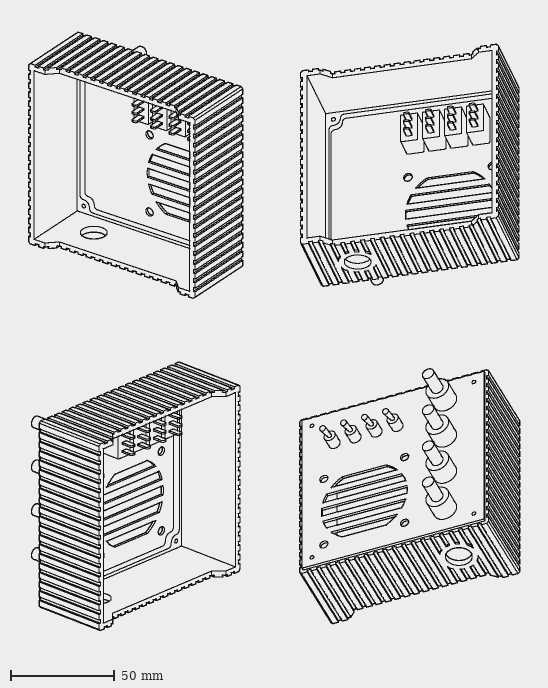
import cadquery as cq
import math

SIDE = 99.0
HOUSING_DEPTH = 40.0
WALL = 3.3
CORNER_CHAMFER = 1.0
GROOVE_PITCH = 4.95
GROOVE_WIDTH = 2.0
GROOVE_DEPTH = 1.0
RELIEF_DEPTH = 4.95
RELIEF_START = 9.8

CABLE_HOLE_DIAMETER = 13.0
CABLE_PAD_DIAMETER = 18.8
CABLE_HOLE_X = 22.8
CABLE_HOLE_Y = 22.5

PANEL_SIDE = 95.2
PANEL_BACK = 41.5
PLUG_DEPTH = 4.0
POCKET_MARGIN = 4.95
SCREW_INSET = 7.1
SCREW_HOLE_DIAMETER = 2.0
BOSS_RADIUS = 3.5
POCKET_FILLET = 2.0

FAN_X = 64.5
FAN_Z = 34.5
FAN_DIAMETER = 44.9
FAN_SCREW_SPACING = 42.3
FAN_SCREW_DIAMETER = 4.3
SLOT_COUNT = 5
SLOT_HEIGHT = 4.95
SLOT_PITCH = 8.4

KNOB_COUNT = 4
KNOB_X = 22.1
KNOB_PITCH = 23.3
KNOB_DIAMETER = 12.0
KNOB_LENGTH = 10.2
SHAFT_DIAMETER = 6.0
OVERALL_DEPTH = 63.5

SWITCH_COUNT = 4
SWITCH_CENTRE_X = 63.6
SWITCH_PITCH = 11.0
SWITCH_Z = 76.3
SWITCH_WIDTH = 8.6
SWITCH_HEIGHT = 15.1
SWITCH_DEPTH = 11.9
SWITCH_EDGE_RADIUS = 0.5
BUSHING_DIAMETER = 5.8
BUSHING_LENGTH = 6.3
TERMINAL_COUNT = 3
TERMINAL_PITCH = 4.4
TERMINAL_WIDTH = 2.9
TERMINAL_THICKNESS = 0.9
TERMINAL_LENGTH = 6.3
TERMINAL_CORNER_RADIUS = 0.9
LEVER_TILT = 16.0
LEVER_LENGTH = 9.4
LEVER_ROOT_DEPTH = 1.0
LEVER_ROOT_DIAMETER = 2.0
LEVER_TIP_DIAMETER = 3.0
LEVER_DOME = 0.9

CENTRE = SIDE / 2
BORE_SIDE = SIDE - 2 * WALL
PLUG_FRONT = HOUSING_DEPTH - PLUG_DEPTH


def centred_positions(count, pitch, centre):
    """Evenly spaced positions, symmetric about a centre."""
    return [centre + (i - (count - 1) / 2) * pitch for i in range(count)]


SWITCH_POSITIONS = centred_positions(SWITCH_COUNT, SWITCH_PITCH, SWITCH_CENTRE_X)
KNOB_POSITIONS = centred_positions(KNOB_COUNT, KNOB_PITCH, CENTRE)


def block(x, y, z):
    """Box given by its (low, high) limits along each axis."""
    size = (x[1] - x[0], y[1] - y[0], z[1] - z[0])
    return cq.Workplane("XY").box(*size, centered=False).translate((x[0], y[0], z[0]))


def square_block(side, y_start, y_end):
    """Square plate centred on the sleeve axis."""
    low = CENTRE - side / 2
    high = CENTRE + side / 2
    return block((low, high), (y_start, y_end), (low, high))


def rod(x, z, diameter, y_start, y_end):
    """Cylinder along Y."""
    start = cq.Vector(x, y_start, z)
    return cq.Workplane(
        cq.Solid.makeCylinder(diameter / 2, y_end - y_start, start, cq.Vector(0, 1, 0))
    )


def make_grooves():
    """Grooves along Y on all four outer sides."""
    count = round(SIDE / GROOVE_PITCH) - 1
    along = (0, HOUSING_DEPTH)
    grooves = []
    for position in centred_positions(count, GROOVE_PITCH, CENTRE):
        across = (position - GROOVE_WIDTH / 2, position + GROOVE_WIDTH / 2)
        for depth in ((0, GROOVE_DEPTH), (SIDE - GROOVE_DEPTH, SIDE)):
            grooves.append(block(across, along, depth).val())
            grooves.append(block(depth, along, across).val())
    return cq.Compound.makeCompound(grooves)


def make_relief():
    """Trapezoid cut from the front edges of the bottom and top walls."""
    return (
        cq.Workplane("XY")
        .polyline([
            (RELIEF_START, 0),
            (RELIEF_START + RELIEF_DEPTH, RELIEF_DEPTH),
            (SIDE - RELIEF_START - RELIEF_DEPTH, RELIEF_DEPTH),
            (SIDE - RELIEF_START, 0),
        ])
        .close()
        .extrude(SIDE)
    )


def make_housing():
    """Grooved sleeve with a padded cable hole and relieved front edges."""
    sleeve = square_block(SIDE, 0, HOUSING_DEPTH).edges("|Y").chamfer(CORNER_CHAMFER)
    sleeve = sleeve.cut(make_grooves())
    cable_axis = cq.Workplane("XY").center(CABLE_HOLE_X, CABLE_HOLE_Y)
    pad = cable_axis.circle(CABLE_PAD_DIAMETER / 2).extrude(WALL)
    hole = cable_axis.circle(CABLE_HOLE_DIAMETER / 2).extrude(WALL)
    sleeve = sleeve.union(pad).cut(hole)
    bore = square_block(BORE_SIDE, 0, HOUSING_DEPTH)
    return sleeve.cut(bore).cut(make_relief())


def make_screw_posts():
    """Rounded posts that fill the pocket corners and blend into the pocket walls."""
    near = POCKET_MARGIN
    blend = near + POCKET_FILLET
    far = SCREW_INSET + BOSS_RADIUS
    blend_end = far + POCKET_FILLET
    boss_middle = SCREW_INSET + BOSS_RADIUS * math.cos(math.pi / 4)
    fillet_middle = POCKET_FILLET * (1 - math.cos(math.pi / 4))
    post = (
        cq.Workplane("XZ", origin=(0, HOUSING_DEPTH, 0))
        .moveTo(near, near)
        .lineTo(blend_end, near)
        .threePointArc((far + fillet_middle, near + fillet_middle), (far, blend))
        .lineTo(far, SCREW_INSET)
        .threePointArc((boss_middle, boss_middle), (SCREW_INSET, far))
        .lineTo(blend, far)
        .threePointArc((near + fillet_middle, far + fillet_middle), (near, blend_end))
        .close()
        .extrude(PLUG_DEPTH)
    )
    bottom_posts = post.union(post.mirror("YZ", (CENTRE, 0, 0)))
    return bottom_posts.union(bottom_posts.mirror("XY", (0, 0, CENTRE)))


def make_panel_pocket():
    """Square pocket in the plug, open to the front, less its corner posts."""
    pocket = square_block(SIDE - 2 * POCKET_MARGIN, PLUG_FRONT, HOUSING_DEPTH)
    return pocket.cut(make_screw_posts())


def make_fan_grille():
    """Horizontal slots clipped to the fan circle, with four screw holes around it."""
    depth = (HOUSING_DEPTH, PANEL_BACK)
    opening = rod(FAN_X, FAN_Z, FAN_DIAMETER, *depth)
    across = (FAN_X - FAN_DIAMETER / 2, FAN_X + FAN_DIAMETER / 2)
    cuts = []
    for z in centred_positions(SLOT_COUNT, SLOT_PITCH, FAN_Z):
        bar = block(across, depth, (z - SLOT_HEIGHT / 2, z + SLOT_HEIGHT / 2))
        cuts.append(opening.intersect(bar).val())
    for x in centred_positions(2, FAN_SCREW_SPACING, FAN_X):
        for z in centred_positions(2, FAN_SCREW_SPACING, FAN_Z):
            cuts.append(rod(x, z, FAN_SCREW_DIAMETER, *depth).val())
    return cq.Compound.makeCompound(cuts)


def make_panel():
    """Back plate and hollow plug with fan grille, screw holes and switch holes."""
    plate = square_block(PANEL_SIDE, HOUSING_DEPTH, PANEL_BACK)
    plug = square_block(BORE_SIDE, PLUG_FRONT, HOUSING_DEPTH).cut(make_panel_pocket())
    panel = plate.union(plug).cut(make_fan_grille())
    for x in (SCREW_INSET, SIDE - SCREW_INSET):
        for z in (SCREW_INSET, SIDE - SCREW_INSET):
            panel = panel.cut(rod(x, z, SCREW_HOLE_DIAMETER, PLUG_FRONT, PANEL_BACK))
    for x in SWITCH_POSITIONS:
        panel = panel.cut(rod(x, SWITCH_Z, BUSHING_DIAMETER, HOUSING_DEPTH, PANEL_BACK))
    return panel


def make_knob(z):
    """Stepped round knob standing on the back of the panel."""
    knob_end = PANEL_BACK + KNOB_LENGTH
    knob = rod(KNOB_X, z, KNOB_DIAMETER, PANEL_BACK, knob_end)
    return knob.union(rod(KNOB_X, z, SHAFT_DIAMETER, knob_end, OVERALL_DEPTH))


def make_lever(x, bushing_end):
    """Tapered lever with a spherical dome on its end, tilted down from the bushing."""
    tip_radius = LEVER_TIP_DIAMETER / 2
    dome_top = LEVER_LENGTH + LEVER_DOME
    dome_radius = (tip_radius ** 2 + LEVER_DOME ** 2) / (2 * LEVER_DOME)
    half_angle = math.asin(tip_radius / dome_radius) / 2
    dome_middle = (
        dome_radius * math.sin(half_angle),
        dome_top - dome_radius * (1 - math.cos(half_angle)),
    )
    lever = (
        cq.Workplane("XY")
        .moveTo(0, -LEVER_ROOT_DEPTH)
        .lineTo(LEVER_ROOT_DIAMETER / 2, -LEVER_ROOT_DEPTH)
        .lineTo(tip_radius, LEVER_LENGTH)
        .threePointArc(dome_middle, (0, dome_top))
        .close()
        .revolve(360, (0, 0, 0), (0, 1, 0))
    )
    lever = lever.rotate((0, 0, 0), (1, 0, 0), -LEVER_TILT)
    return lever.translate((x, bushing_end, SWITCH_Z))


def make_terminal(x, z, front):
    """Flat solder tag with rounded end corners."""
    tag = block(
        (x - TERMINAL_WIDTH / 2, x + TERMINAL_WIDTH / 2),
        (front - TERMINAL_LENGTH, front),
        (z - TERMINAL_THICKNESS / 2, z + TERMINAL_THICKNESS / 2),
    )
    return tag.edges("|Z and <Y").fillet(TERMINAL_CORNER_RADIUS)


def make_switch(x):
    """Switch body inside the panel, with terminals in front and bushing and lever behind."""
    front = HOUSING_DEPTH - SWITCH_DEPTH
    bushing_end = PANEL_BACK + BUSHING_LENGTH
    switch = block(
        (x - SWITCH_WIDTH / 2, x + SWITCH_WIDTH / 2),
        (front, HOUSING_DEPTH),
        (SWITCH_Z - SWITCH_HEIGHT / 2, SWITCH_Z + SWITCH_HEIGHT / 2),
    ).edges("|Y").fillet(SWITCH_EDGE_RADIUS)
    switch = switch.union(rod(x, SWITCH_Z, BUSHING_DIAMETER, HOUSING_DEPTH, bushing_end))
    for z in centred_positions(TERMINAL_COUNT, TERMINAL_PITCH, SWITCH_Z):
        switch = switch.union(make_terminal(x, z, front))
    return switch.union(make_lever(x, bushing_end))


housing = make_housing()
panel = make_panel()
knobs = [make_knob(z).val() for z in KNOB_POSITIONS]
switches = [make_switch(x).val() for x in SWITCH_POSITIONS]

result = cq.Compound.makeCompound([housing.val(), panel.val(), *knobs, *switches])